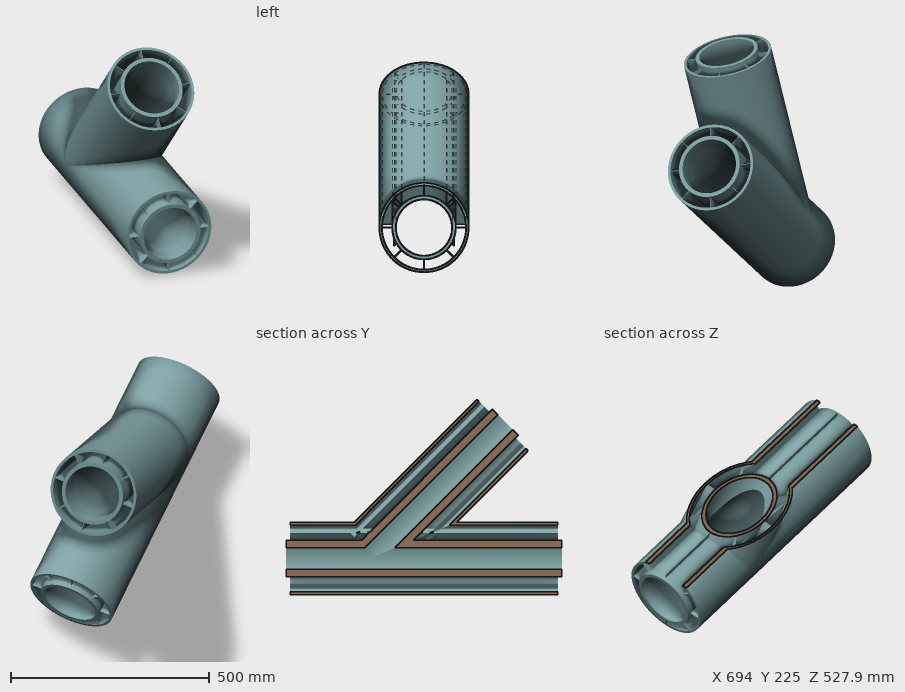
import cadquery as cq

total_length = 694.0
pipe_overhang = 10.0
branch_sleeve_end = 475.0
branch_origin_x = -138.0
branch_angle = 45.0

sleeve_diameter = 225.0
sleeve_wall = 7.0
pipe_diameter = 160.0
bore_diameter = 141.0
rib_thickness = 1.5
rib_count = 8
branch_rib_start = 12.0
rib_overlap = 1.5

sleeve_cavity_diameter = sleeve_diameter - 2 * sleeve_wall
sleeve_length = total_length - 2 * pipe_overhang
branch_pipe_end = branch_sleeve_end + pipe_overhang

run_plane = cq.Plane(origin=(0, 0, 0), xDir=(0, 1, 0), normal=(1, 0, 0))
branch_plane = cq.Plane(
    origin=(branch_origin_x, 0, 0), xDir=(0, 1, 0), normal=(1, 0, 0)
).rotated((-branch_angle, 0, 0))


def cylinder(plane, diameter, start, end):
    """Cylinder along the plane normal between two axial positions."""
    return cq.Workplane(plane).workplane(offset=start).circle(diameter / 2).extrude(end - start)


def ribs(plane, start, end):
    """Radial ribs bridging the gap between the pipe and its sleeve."""
    inner_radius = pipe_diameter / 2 - rib_overlap
    outer_radius = sleeve_cavity_diameter / 2 + rib_overlap
    return (
        cq.Workplane(plane)
        .workplane(offset=start)
        .polarArray((inner_radius + outer_radius) / 2, 0, 360, rib_count)
        .rect(outer_radius - inner_radius, rib_thickness)
        .extrude(end - start)
    )


sleeve_half = sleeve_length / 2
pipe_half = total_length / 2
run_cavity = cylinder(run_plane, sleeve_cavity_diameter, -sleeve_half, sleeve_half)
branch_cavity = cylinder(branch_plane, sleeve_cavity_diameter, 0, branch_sleeve_end)

sleeve = (
    cylinder(run_plane, sleeve_diameter, -sleeve_half, sleeve_half)
    .union(cylinder(branch_plane, sleeve_diameter, 0, branch_sleeve_end))
    .cut(run_cavity)
    .cut(branch_cavity)
)

body = (
    sleeve
    .union(cylinder(run_plane, pipe_diameter, -pipe_half, pipe_half))
    .union(cylinder(branch_plane, pipe_diameter, 0, branch_pipe_end))
    .union(ribs(run_plane, -sleeve_half, sleeve_half))
    .union(ribs(branch_plane, branch_rib_start, branch_sleeve_end))
)

result = (
    body
    .cut(cylinder(run_plane, bore_diameter, -pipe_half, pipe_half))
    .cut(cylinder(branch_plane, bore_diameter, 0, branch_pipe_end))
)